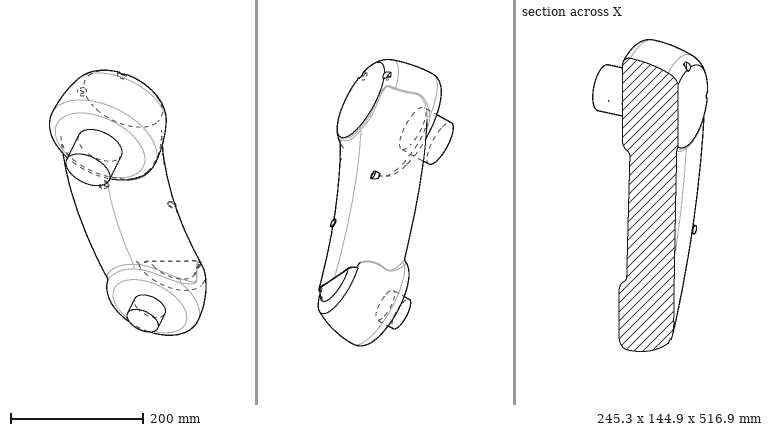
import cadquery as cq
import math


SMALL_X = 83.3
SMALL_Z = -354.84
SMALL_FRONT_Y = -6.0

CAP_START_Y = 78.0

BIG_RADIUS = 87.0
BIG_ROUND = 14.0
BIG_CAP_RADIUS = 77.0
BIG_CAP_MID = (73.0, 86.5)
BIG_BACK_RADIUS = 64.0
BIG_BACK_Y = 94.89
BIG_PIN_RADIUS = 35.8
BIG_PIN_LENGTH = 50.0

SMALL_RADIUS = 75.04
SMALL_ROUND = 15.0
SMALL_CAP_RADIUS = 57.0
SMALL_CAP_MID = (50.5, 83.0)
SMALL_BACK_RADIUS = 40.0
SMALL_BACK_Y = 85.5
SMALL_PIN_RADIUS = 25.5
SMALL_PIN_LENGTH = 29.5

ARM_HALF_WIDTH_BIG = 79.0
ARM_HALF_WIDTH_SMALL = 71.5
ARM_FRONT_BIG_Y = 15.0
ARM_FRONT_SMALL_Y = 5.0
ARM_BACK_BIG_Y = 93.5
ARM_BACK_SMALL_Y = 86.5
ARM_FRONT_ROUND_WIDTH = 28.0
ARM_FRONT_ROUND_DEPTH = 20.0
ARM_SIDE_TAPER_BIG = 10.0
ARM_SIDE_TAPER_SMALL = 14.0
ARM_BACK_ROUND = 12.0
ARM_SECTIONS = 5
BLEND_RADIUS = 7.0

JOINT_NEAR = 0.8
JOINT_FAR = 1.2

NOTCH_RADIUS = 6.5
NOTCH_DEPTH = 7.0
NOTCH_OFFSET = 66.0
SIDE_NOTCH_Z = -9.0

FOOT_RADIUS = 6.5
FOOT_LENGTH = 8.0
FOOT_Z = -220.0
FOOT_BACK_Y = 91.0
FOOT_LEFT_X = -27.5
FOOT_RIGHT_X = 81.0

DIAGONAL_INSET = 1 - math.sqrt(0.5)

ARM_RADIUS = (SMALL_X**2 + SMALL_Z**2) / (2 * SMALL_X)
ARM_ANGLE = math.asin(-SMALL_Z / ARM_RADIUS)


def make_boss(radius, front_round, front_y, cap_radius, cap_mid, back_radius, back_y):
    """Domed boss turned about the Y axis, with a rounded front edge and a curved back cap."""
    inset = front_round * DIAGONAL_INSET
    profile = (
        cq.Workplane("XY")
        .moveTo(0, front_y)
        .lineTo(radius - front_round, front_y)
        .threePointArc((radius - inset, front_y + inset), (radius, front_y + front_round))
        .tangentArcPoint((cap_radius, CAP_START_Y), relative=False)
        .threePointArc(cap_mid, (back_radius, back_y))
        .lineTo(0, back_y)
        .close()
    )
    return profile.revolve(360, (0, 0, 0), (0, 1, 0))


def make_stud(x, z, radius, start_y, length):
    """Cylinder along +Y, starting at start_y."""
    return cq.Workplane(cq.Solid.makeCylinder(radius, length, cq.Vector(x, start_y, z), cq.Vector(0, 1, 0)))


def arm_section(fraction):
    """Cross-section of the arm at a fraction of the way from the big boss to the small one."""

    def between(start, end):
        return start + (end - start) * fraction

    angle = ARM_ANGLE * fraction
    origin = (ARM_RADIUS * (1 - math.cos(angle)), 0, -ARM_RADIUS * math.sin(angle))
    across = (math.cos(angle), 0, math.sin(angle))
    normal = (-math.sin(angle), 0, math.cos(angle))
    half = between(ARM_HALF_WIDTH_BIG, ARM_HALF_WIDTH_SMALL)
    front = between(ARM_FRONT_BIG_Y, ARM_FRONT_SMALL_Y)
    back = between(ARM_BACK_BIG_Y, ARM_BACK_SMALL_Y)
    taper = between(ARM_SIDE_TAPER_BIG, ARM_SIDE_TAPER_SMALL)

    side_inset = ARM_FRONT_ROUND_WIDTH * DIAGONAL_INSET
    front_inset = ARM_FRONT_ROUND_DEPTH * DIAGONAL_INSET
    flat_half = half - ARM_FRONT_ROUND_WIDTH
    side_y = front + ARM_FRONT_ROUND_DEPTH
    shoulder_half = half - taper
    shoulder_y = back - ARM_BACK_ROUND
    right_side = [
        (flat_half / 2, front),
        (flat_half, front),
        (half - side_inset, front + front_inset),
        (half, side_y),
        (half - taper / 3, (side_y + shoulder_y) / 2),
        (shoulder_half, shoulder_y),
        (shoulder_half - ARM_BACK_ROUND / 3, back - ARM_BACK_ROUND / 3),
        (shoulder_half - ARM_BACK_ROUND, back),
        (shoulder_half / 2, back),
    ]
    left_side = [(-u, y) for u, y in reversed(right_side)]
    front_middle = (0, front)
    back_middle = (0, back)
    return (
        cq.Workplane(cq.Plane(origin, across, normal))
        .spline([front_middle, *right_side, back_middle], tangents=[(1, 0), (-1, 0)])
        .spline([back_middle, *left_side, front_middle], tangents=[(-1, 0), (1, 0)])
        .wire()
        .val()
    )


def make_arm():
    """Loft through cross-sections spaced evenly along the centre line."""
    sections = [arm_section(i / (ARM_SECTIONS - 1)) for i in range(ARM_SECTIONS)]
    return cq.Workplane(cq.Solid.makeLoft(sections))


big_boss = make_boss(
    BIG_RADIUS, BIG_ROUND, 0, BIG_CAP_RADIUS, BIG_CAP_MID, BIG_BACK_RADIUS, BIG_BACK_Y
)
small_boss = make_boss(
    SMALL_RADIUS, SMALL_ROUND, SMALL_FRONT_Y,
    SMALL_CAP_RADIUS, SMALL_CAP_MID, SMALL_BACK_RADIUS, SMALL_BACK_Y,
).translate((SMALL_X, 0, SMALL_Z))


def front_joint(boss_x, boss_z, radius, direction):
    """Selector of the edge crossing the front of the arm on the side of a boss facing the other boss."""
    near_z = boss_z + direction * radius * JOINT_NEAR
    far_z = boss_z + direction * radius * JOINT_FAR
    low = (boss_x - radius, 0, min(near_z, far_z))
    high = (boss_x + radius, CAP_START_Y / 2, max(near_z, far_z))
    return cq.selectors.BoxSelector(low, high)


result = make_arm().union(big_boss).union(small_boss)
big_joint = front_joint(0, 0, BIG_RADIUS, -1)
small_joint = front_joint(SMALL_X, SMALL_Z, SMALL_RADIUS, 1)
result = result.edges(big_joint + small_joint).fillet(BLEND_RADIUS)

result = result.union(make_stud(0, 0, BIG_PIN_RADIUS, -BIG_PIN_LENGTH, BIG_PIN_LENGTH))
small_pin_y = SMALL_FRONT_Y - SMALL_PIN_LENGTH
result = result.union(make_stud(SMALL_X, SMALL_Z, SMALL_PIN_RADIUS, small_pin_y, SMALL_PIN_LENGTH))

notch_start_y = BIG_BACK_Y - NOTCH_DEPTH
for notch_x, notch_z in [(0, NOTCH_OFFSET), (-NOTCH_OFFSET, SIDE_NOTCH_Z)]:
    result = result.cut(make_stud(notch_x, notch_z, NOTCH_RADIUS, notch_start_y, NOTCH_DEPTH))

for foot_x in (FOOT_LEFT_X, FOOT_RIGHT_X):
    result = result.union(make_stud(foot_x, FOOT_Z, FOOT_RADIUS, FOOT_BACK_Y - FOOT_LENGTH, FOOT_LENGTH))